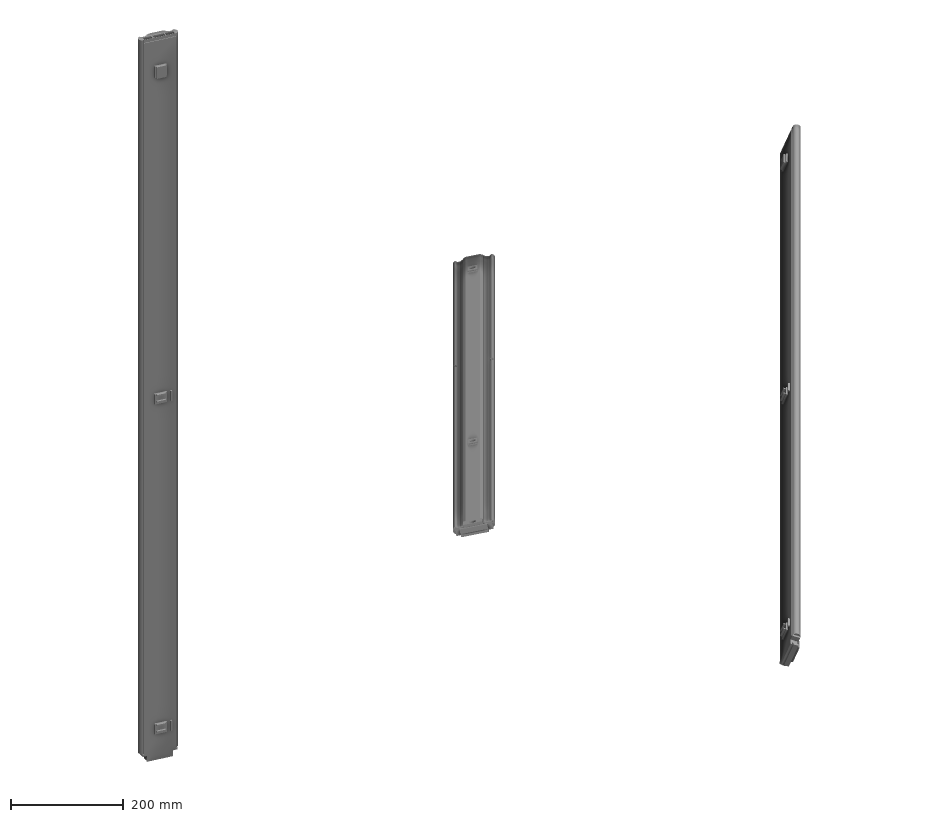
import cadquery as cq

LENGTH = 1473.0
WIDTH = 77.0
DEPTH = 30.0
TOP = LENGTH / 2
BOTTOM = -LENGTH / 2
FRONT = -DEPTH / 2
BACK = DEPTH / 2

EDGE_FRONT_X = -9.0
EDGE_BACK_X = 7.0
EDGE_ROUNDING = 5.2
EDGE_Y = WIDTH / 2 - EDGE_ROUNDING
GROOVE_WIDTH = 5.0
GROOVE_OUTER_Y = EDGE_Y - GROOVE_WIDTH
GROOVE_INNER_Y = GROOVE_OUTER_Y - GROOVE_WIDTH
GROOVE_FLOOR_X = -6.0
SLOPE_FOOT_X = -10.0
SHOULDER_X = 5.6
SHOULDER_Y = 31.0
CREST_X = -12.5
CREST_HALF_WIDTH = 13.0
SLOPE_WIDTH = 5.2
SLOPE_FOOT_Y = CREST_HALF_WIDTH + SLOPE_WIDTH

SIDE_CAVITY_OUTER_Y = 30.0
SIDE_CAVITY_INNER_Y = 13.0
MIDDLE_CAVITY_HALF_WIDTH = 11.0
CAVITY_FRONT_X = -3.0
CAVITY_BACK_X = 5.2

STRIP_HALF_WIDTH = 10.0
CHANNEL_FLOOR_X = -6.6

CAP_HEIGHT = 10.0
CAP_BAND = 6.0
CAP_STEP = 1.0
RAIL_TOP = TOP - CAP_HEIGHT
RAIL_BOTTOM = -720.0

CLIP_HEIGHT = 22.0
CLIP_HALF_WIDTH = 9.0
CLIP_CENTRES = (663.0, -285.0)
CLIP_HOLE_RADIUS = 6.0
CLIP_LIP_HEIGHT = 3.0
CLIP_LIP_GAP = 7.0

HOOK_CENTRES = (1.0, -672.0)
HOOK_BASE_HEIGHT = 20.0
HOOK_BASE_X = 11.0
HOOK_BASE_HALF_WIDTH = 12.0
HOOK_LIP_HALF_WIDTH = 9.0
HOOK_LIP_HEIGHT = 3.0
HOOK_LIP_PITCH = 13.0
CATCH_CENTRE = 669.0
CATCH_HEIGHT = 24.0
TAB_INNER_Y = 19.0
TAB_WIDTH = 3.0

SLOT_CENTRE_Z = 164.0
SLOT_CENTRE_Y = EDGE_Y
SLOT_WIDTH = 6.0
SLOT_HEIGHT = 9.0
SLOT_FLOOR_X = -5.0

FLANGE_THICKNESS = 5.0
FLANGE_HALF_WIDTH = 34.0
FLANGE_BOTTOM = RAIL_BOTTOM - FLANGE_THICKNESS
FOOT_HALF_WIDTH = 25.0
FOOT_FRONT_X = -7.0
FOOT_LEDGE = 1.0
NECK_FRONT_X = FOOT_FRONT_X + FOOT_LEDGE
LEDGE_Z = -732.0
FOOT_BACK_X = 7.0
FORK_FRONT_X = 1.0
FORK_BACK_X = 5.0
FORK_DEPTH = 5.0
PLATE_TOP = -712.0
PLATE_HALF_WIDTH = 18.0
PLATE_BOTTOM = -730.0
SCREW_HOLE_RADIUS = 6.0
SCREW_HOLE_Z = -722.0


def block(x_min, x_max, y_min, y_max, z_min, z_max):
    """Box given by its limits along each axis."""
    size = (x_max - x_min, y_max - y_min, z_max - z_min)
    return cq.Workplane("XY").box(*size, centered=False).translate((x_min, y_min, z_min))


def centred_block(x_min, x_max, half_width, z_min, z_max):
    """Box symmetric about the XZ plane."""
    return block(x_min, x_max, -half_width, half_width, z_min, z_max)


def bore(radius, z, x_min, x_max):
    """Cylinder along X on the XZ plane of symmetry."""
    return cq.Workplane("YZ", origin=(x_min, 0, z)).circle(radius).extrude(x_max - x_min)


def half_section(z_min, z_max):
    """The +Y half of the solid rail outline, extruded between two heights."""
    outline = (
        cq.Workplane("XY", origin=(0, 0, z_min))
        .moveTo(EDGE_BACK_X, 0)
        .lineTo(EDGE_BACK_X, SHOULDER_Y)
        .lineTo(SHOULDER_X, SHOULDER_Y)
        .lineTo(SHOULDER_X, EDGE_Y)
        .threePointArc(((EDGE_FRONT_X + SHOULDER_X) / 2, WIDTH / 2), (EDGE_FRONT_X, EDGE_Y))
        .lineTo(GROOVE_FLOOR_X, GROOVE_OUTER_Y)
        .lineTo(GROOVE_FLOOR_X, GROOVE_INNER_Y)
        .lineTo(EDGE_FRONT_X, SLOPE_FOOT_Y)
        .lineTo(SLOPE_FOOT_X, SLOPE_FOOT_Y)
        .lineTo(CREST_X, CREST_HALF_WIDTH)
        .lineTo(CREST_X, 0)
        .close()
    )
    return outline.extrude(z_max - z_min)


def hollow_section(z_min, z_max):
    """Full rail section with its cavities and the channel for the strip."""
    half = half_section(z_min, z_max)
    for y_min, y_max in ((SIDE_CAVITY_INNER_Y, SIDE_CAVITY_OUTER_Y), (0, MIDDLE_CAVITY_HALF_WIDTH)):
        half = half.cut(block(CAVITY_FRONT_X, CAVITY_BACK_X, y_min, y_max, z_min, z_max))
    return half.union(half.mirror("XZ")).cut(strip_bar())


def strip_bar():
    """Plain strip, which is also the channel it fills."""
    return centred_block(CREST_X, CHANNEL_FLOOR_X, STRIP_HALF_WIDTH, PLATE_TOP, TOP)


def foot_plate():
    """Front plate of the foot, let into the lower end of the rail."""
    return centred_block(CREST_X, NECK_FRONT_X, PLATE_HALF_WIDTH, PLATE_BOTTOM, PLATE_TOP)


def hook(z):
    """Back hook: a base with two lips and a side tab."""
    z_min = z - HOOK_BASE_HEIGHT / 2
    z_max = z + HOOK_BASE_HEIGHT / 2
    body = centred_block(EDGE_BACK_X, HOOK_BASE_X, HOOK_BASE_HALF_WIDTH, z_min, z_max)
    for lip_top in (z_max, z_max - HOOK_LIP_PITCH):
        lip_bottom = lip_top - HOOK_LIP_HEIGHT
        body = body.union(centred_block(EDGE_BACK_X, BACK, HOOK_LIP_HALF_WIDTH, lip_bottom, lip_top))
    tab = block(EDGE_BACK_X, HOOK_BASE_X, TAB_INNER_Y, TAB_INNER_Y + TAB_WIDTH, z_min, z_max)
    return body.union(tab)


def catch():
    """Taller back catch: a base with a narrower full-height block."""
    z_min = CATCH_CENTRE - CATCH_HEIGHT / 2
    z_max = CATCH_CENTRE + CATCH_HEIGHT / 2
    base = centred_block(EDGE_BACK_X, HOOK_BASE_X, HOOK_BASE_HALF_WIDTH, z_min, z_max)
    return base.union(centred_block(EDGE_BACK_X, BACK, HOOK_LIP_HALF_WIDTH, z_min, z_max))


def blind_slot(y):
    """Space of one blind slot in the -X side of the rail."""
    return block(
        EDGE_FRONT_X,
        SLOT_FLOOR_X,
        y - SLOT_WIDTH / 2,
        y + SLOT_WIDTH / 2,
        SLOT_CENTRE_Z - SLOT_HEIGHT / 2,
        SLOT_CENTRE_Z + SLOT_HEIGHT / 2,
    )


def make_rail():
    """Hollow rail with the hooks and the catch on its back."""
    body = hollow_section(RAIL_BOTTOM, RAIL_TOP).cut(foot_plate())
    for z in HOOK_CENTRES:
        body = body.union(hook(z))
    body = body.union(catch())
    for y in (-SLOT_CENTRE_Y, SLOT_CENTRE_Y):
        body = body.cut(blind_slot(y))
    return body


def make_cap():
    """End cap with the rail's section, its upper band set back from the rail's back face."""
    step = centred_block(EDGE_BACK_X - CAP_STEP, EDGE_BACK_X, WIDTH / 2, TOP - CAP_BAND, TOP)
    return hollow_section(RAIL_TOP, TOP).cut(step)


def clip(z):
    """Strip clip: a drilled block above a separate lip."""
    z_min = z - CLIP_HEIGHT / 2
    lip_top = z_min - CLIP_LIP_GAP
    body = centred_block(FRONT, CREST_X, CLIP_HALF_WIDTH, z_min, z_min + CLIP_HEIGHT)
    body = body.cut(bore(CLIP_HOLE_RADIUS, z, FRONT, CREST_X))
    return body.union(centred_block(FRONT, CREST_X, CLIP_HALF_WIDTH, lip_top - CLIP_LIP_HEIGHT, lip_top))


def make_strip():
    """Strip with its clips."""
    body = strip_bar()
    for z in CLIP_CENTRES:
        body = body.union(clip(z))
    return body


def make_foot():
    """Foot: flange under the rail, forked block below it and a drilled front plate."""
    body = centred_block(FOOT_FRONT_X, FOOT_BACK_X, FLANGE_HALF_WIDTH, FLANGE_BOTTOM, RAIL_BOTTOM)
    body = body.union(centred_block(NECK_FRONT_X, FOOT_BACK_X, FOOT_HALF_WIDTH, LEDGE_Z, FLANGE_BOTTOM))
    body = body.union(centred_block(FOOT_FRONT_X, FOOT_BACK_X, FOOT_HALF_WIDTH, BOTTOM, LEDGE_Z))
    body = body.union(foot_plate())
    fork = centred_block(FORK_FRONT_X, FORK_BACK_X, FOOT_HALF_WIDTH, BOTTOM, BOTTOM + FORK_DEPTH)
    return body.cut(fork).cut(bore(SCREW_HOLE_RADIUS, SCREW_HOLE_Z, CREST_X, NECK_FRONT_X))


rail = make_rail()
cap = make_cap()
strip = make_strip()
foot = make_foot()
result = cq.Compound.makeCompound([rail.val(), cap.val(), strip.val(), foot.val()])